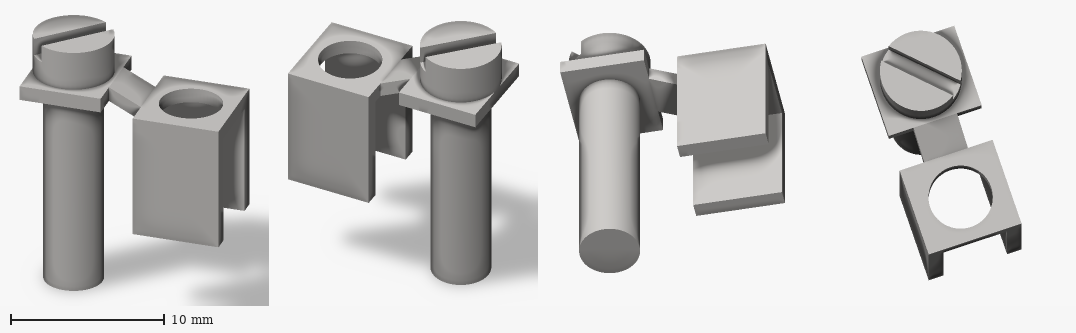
import cadquery as cq

total_height = 17.9
shank_diameter = 4.0
head_diameter = 5.35
head_height = 2.7
slot_width = 1.1
slot_depth = 1.2
slot_angle = 45.0

sheet_thickness = 1.0
clamp_width = 6.4
plate_length = 5.58
plate_overhang = 0.02
arm_length = 2.2
arm_width = 3.0
arm_drop = 1.1
saddle_length = 5.9
saddle_height = 8.52
saddle_hole_diameter = 4.2

plate_top = total_height - head_height
plate_start = plate_overhang - head_diameter / 2
plate_end = plate_start + plate_length
saddle_start = plate_end + arm_length
saddle_middle = saddle_start + saddle_length / 2
saddle_top = plate_top - arm_drop


def make_screw():
    """Cheese-head screw with a diagonal driver slot."""
    shank = cq.Workplane("XY").circle(shank_diameter / 2).extrude(plate_top)
    head = cq.Workplane("XY", origin=(0, 0, plate_top)).circle(head_diameter / 2).extrude(head_height)
    slot = (
        cq.Workplane("XY", origin=(0, 0, total_height - slot_depth))
        .rect(2 * head_diameter, slot_width)
        .extrude(slot_depth)
        .rotate((0, 0, 0), (0, 0, 1), slot_angle)
    )
    return shank.union(head.cut(slot))


def make_plate():
    """Flat plate clamped under the screw head."""
    return (
        cq.Workplane("XY", origin=(plate_start + plate_length / 2, 0, plate_top))
        .rect(plate_length, clamp_width)
        .extrude(-sheet_thickness)
    )


def make_arm():
    """Narrow sloping strip joining the plate to the saddle."""
    return (
        cq.Workplane("XZ")
        .moveTo(plate_end, plate_top)
        .lineTo(saddle_start, saddle_top)
        .lineTo(saddle_start, saddle_top - sheet_thickness)
        .lineTo(plate_end, plate_top - sheet_thickness)
        .close()
        .extrude(arm_width / 2, both=True)
    )


def make_saddle():
    """Inverted U channel, open along X and below, with a hole in its top."""
    block = (
        cq.Workplane("XY", origin=(saddle_middle, 0, saddle_top))
        .rect(saddle_length, clamp_width)
        .extrude(-saddle_height)
    )
    channel = (
        cq.Workplane("XY", origin=(saddle_middle, 0, saddle_top - sheet_thickness))
        .rect(saddle_length, clamp_width - 2 * sheet_thickness)
        .extrude(sheet_thickness - saddle_height)
    )
    hole = (
        cq.Workplane("XY", origin=(saddle_middle, 0, saddle_top))
        .circle(saddle_hole_diameter / 2)
        .extrude(-sheet_thickness)
    )
    return block.cut(channel).cut(hole)


result = make_screw().union(make_plate()).union(make_arm()).union(make_saddle())